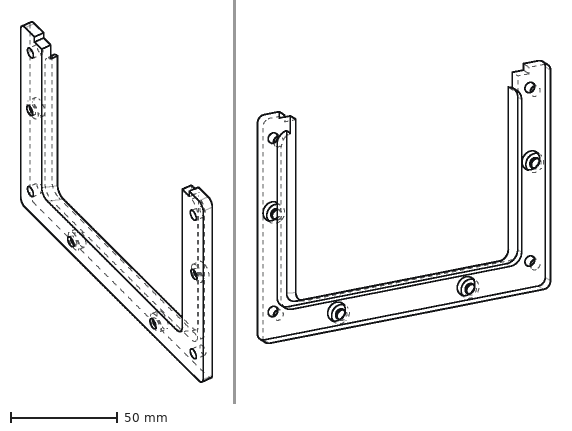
import cadquery as cq
import math

width = 155.0
height = 113.7
plate_thickness = 5.3
lip_depth = 3.9
leg_width = 17.8
floor_height = 18.1
floor_slope = 20.0
outer_radius = 3.7
inner_radius = 4.73
lip_inset = 12.7
lip_height = 89.1
lip_radius = 6.0
tip_width = 11.8
tip_step = 3.3
hole_diameter = 5.1
counterbore_diameter = 9.5
counterbore_depth = 3.7

corner_hole_x = 69.1
low_hole_z = 13.5
high_hole_z = 101.0
side_hole_x = 69.7
side_hole_z = 64.1
bottom_hole_x = 34.9
bottom_hole_z = 7.1

total_depth = plate_thickness + lip_depth


def block(block_width, depth, block_height, y, z):
    """Box centred on X, with its front face at y and its bottom at z."""
    return (
        cq.Workplane("XY")
        .box(block_width, depth, block_height, centered=(True, False, False))
        .translate((0, y, z))
    )


plate = block(width, plate_thickness, height, 0, 0).edges("|Y").fillet(outer_radius)
lip = (
    block(width - 2 * lip_inset, lip_depth, lip_height, plate_thickness, lip_inset)
    .edges("|Y")
    .fillet(lip_radius)
)

floor_drop = total_depth * math.tan(math.radians(floor_slope))
opening_width = width - 2 * leg_width
opening = (
    cq.Workplane("YZ")
    .polyline(
        [
            (0, floor_height),
            (total_depth, floor_height - floor_drop),
            (total_depth, height),
            (0, height),
        ]
    )
    .close()
    .extrude(opening_width / 2, both=True)
)
floor_ends = cq.selectors.BoxSelector(
    (-opening_width, 0, floor_height - floor_drop),
    (opening_width, total_depth, floor_height),
)
opening = opening.edges(floor_ends).edges("not(|X)").fillet(inner_radius)

tip_notch = block(width - 2 * tip_width, plate_thickness, tip_step, 0, height - tip_step)


def mirrored(x, z):
    """A pair of hole centres on both sides of the centre plane."""
    return [(-x, z), (x, z)]


plain_centres = mirrored(corner_hole_x, low_hole_z) + mirrored(corner_hole_x, high_hole_z)
screw_centres = mirrored(side_hole_x, side_hole_z) + mirrored(bottom_hole_x, bottom_hole_z)

back_face = cq.Workplane("XZ", origin=(0, plate_thickness, 0))
holes = (
    back_face.pushPoints(plain_centres + screw_centres)
    .circle(hole_diameter / 2)
    .extrude(plate_thickness)
)

counterbores = (
    back_face.pushPoints(screw_centres)
    .circle(counterbore_diameter / 2)
    .extrude(counterbore_depth)
)

result = plate.union(lip).cut(opening).cut(tip_notch).cut(holes).cut(counterbores)